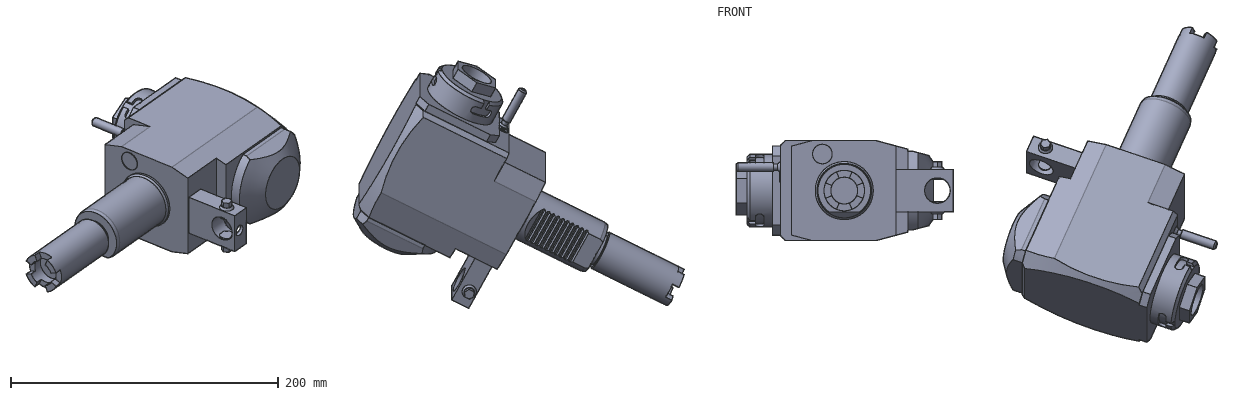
import cadquery as cq
import math


TOTAL_LENGTH = 244.2

BLOCK_HEIGHT = 75.0
HALF_HEIGHT = BLOCK_HEIGHT / 2
BLOCK_BACK_Y = 113.8
STEP_Y = 35.2
HEAD_LEFT_X = -47.6
HEAD_RIGHT_X = 47.6
BASE_LEFT_X = -39.3
BASE_RIGHT_X = 38.5
TAPER_START_X = 23.7
TAPER_ANGLE = 15
EDGE_CHAMFER_X = 3.7
EDGE_CHAMFER_Z = 3.5
BACK_CORNER_CHAMFER = 3.2
CROWN_RADIUS = 185.6
CROWN_X = -10.0
CROWN_Y = 110.2
PLUG_X = -16.4
PLUG_Z = 27.4
PLUG_RADIUS = 7.3
PLUG_RECESS = 0.5

SPINDLE_Y = 79.9
PLATE_LEFT_X = -53.7
PLATE_FRONT_Y = 46.7
PLATE_HALF_HEIGHT = 33.5
PLATE_CHAMFER = 7.5
COLLAR_LEFT_X = -72.8
COLLAR_RADIUS = 27.4
COLLAR_CHAMFER = 2.2
SLOT_COUNT = 3
SLOT_X = -63.3
SLOT_WIDTH = 6.0
SLOT_LENGTH = 19.0
SLOT_DEPTH = 2.2
CHANNEL_WIDTH = 5.1
NUT_LEFT_X = -80.8
NUT_ACROSS_FLATS = 31.8
NUT_BORE_RADIUS = 12.2

PIN_Y = 40.5
PIN_Z = 17.5
PIN_RADIUS = 3.5
PIN_TIP_CHAMFER = 1.2
PIN_SHOULDER_X = -53.0
PIN_NECK_RADIUS = 2.5
PIN_NECK_END_X = -49.8
PIN_FOOT_RADIUS = 4.5
SMALL_PLUG_Z = 10.7
SMALL_PLUG_HEIGHT = 0.7
SMALL_PLUG_HOLE_RADIUS = 1.5

COVER_RADIUS = 37.9
COVER_END_RADIUS = 21.0
COVER_CONE_X = 55.2
COVER_END_X = 67.0
COVER_BACK_Y = 110.2
COVER_FLAT_Z = 29.5
COVER_TAPER_X = 51.0

FLANGE_RADIUS = 21.7
FLANGE_LENGTH = 1.7
SHANK_DIAMETER = 40.8
SHANK_RADIUS = SHANK_DIAMETER / 2
SHANK_START_Y = -3.2
SHANK_END_Y = -63.0
SHANK_CHAMFER_LENGTH = 3.0
SHANK_CHAMFER_DEPTH = 0.7
NECK_RADIUS = 12.2
DRIVE_START_Y = -66.2
DRIVE_RADIUS = 15.1
DRIVE_CHAMFER = 0.7
CLAW_LENGTH = 5.4
SHANK_TIP_Y = BLOCK_BACK_Y - TOTAL_LENGTH
CLAW_COUNT = 4
DRIVE_BORE_RADIUS = 10.0
DRIVE_BORE_DEPTH = 12.2

FLAT_Z = -15.9
FLAT_END_Y = -10.3
GROOVE_COUNT = 10
FIRST_GROOVE_Y = -12.2
LAST_GROOVE_Y = -48.4
GROOVE_PITCH = (FIRST_GROOVE_Y - LAST_GROOVE_Y) / (GROOVE_COUNT - 1)
GROOVE_DEPTH = 1.2
GROOVE_MOUTH = 3.7
GROOVE_FLOOR = 1.0

ARM_END_X = 81.5
ARM_FRONT_Y = 1.5
ARM_BACK_Y = 15.9
ARM_HALF_HEIGHT = 15.9
ARM_HOLE_X = 69.5
ARM_HOLE_RADIUS = 9.5
ARM_END_HOLE_RADIUS = 4.2
SCREW_Y = 7.3
SCREW_COLLAR_RADIUS = 5.4
SCREW_COLLAR_HEIGHT = 1.7
SCREW_ACROSS_FLATS = 6.8
SCREW_TOP_Z = 21.7
SCREW_INNER_Z = 8.3

TAPER_SLOPE = math.tan(math.radians(TAPER_ANGLE))


def box(x0, x1, y0, y1, z0, z1):
    """Box between two opposite corners."""
    return cq.Workplane("XY").box(x1 - x0, y1 - y0, z1 - z0, centered=False).translate((x0, y0, z0))


def cylinder_x(x0, x1, y, z, radius):
    """Cylinder along X."""
    return cq.Workplane("YZ", origin=(x0, y, z)).circle(radius).extrude(x1 - x0)


def turned_x(points, y, z):
    """Solid turned about an X axis through (y, z), from (x, radius) points."""
    outline = [(points[0][0], 0)] + points + [(points[-1][0], 0)]
    return cq.Workplane("XY").polyline(outline).close().revolve(360, (0, 0), (1, 0)).translate((0, y, z))


def mirrored_profile(upper, y0, y1):
    """Prism along Y whose XZ outline is `upper` and its mirror image below Z = 0."""
    lower = [(x, -z) for x, z in reversed(upper)]
    return cq.Workplane("XZ", origin=(0, y1, 0)).polyline(upper + lower).close().extrude(y1 - y0)


def tapered_height(x):
    """Half height of the block beyond the start of the taper."""
    return HALF_HEIGHT - (abs(x) - TAPER_START_X) * TAPER_SLOPE


def crown_cylinder(side):
    """Large cylinder sloped at 45 degrees that rounds the back edge on one Z side."""
    crown_distance = (CROWN_Y + HALF_HEIGHT) / math.sqrt(2)
    axis_offset = (crown_distance - CROWN_RADIUS) / math.sqrt(2)
    plane = cq.Plane((CROWN_X, axis_offset, side * axis_offset), (1, 0, 0), (0, -1, side))
    return cq.Workplane(plane).circle(CROWN_RADIUS).extrude(2 * CROWN_RADIUS, both=True)


def block():
    head = mirrored_profile(
        [
            (HEAD_LEFT_X, HALF_HEIGHT - EDGE_CHAMFER_Z),
            (HEAD_LEFT_X + EDGE_CHAMFER_X, HALF_HEIGHT),
            (TAPER_START_X, HALF_HEIGHT),
            (HEAD_RIGHT_X, tapered_height(HEAD_RIGHT_X)),
        ],
        STEP_Y,
        BLOCK_BACK_Y,
    )
    head = head.edges("|Z and >X and >Y").chamfer(BACK_CORNER_CHAMFER)
    for side in (1, -1):
        head = head.intersect(crown_cylinder(side))
    base = mirrored_profile(
        [
            (BASE_LEFT_X, tapered_height(BASE_LEFT_X)),
            (-TAPER_START_X, HALF_HEIGHT),
            (TAPER_START_X, HALF_HEIGHT),
            (BASE_RIGHT_X, tapered_height(BASE_RIGHT_X)),
        ],
        0,
        STEP_Y,
    )
    plug_recess = (
        cq.Workplane("XZ", origin=(PLUG_X, PLUG_RECESS, PLUG_Z))
        .circle(PLUG_RADIUS)
        .extrude(PLUG_RECESS)
    )
    return head.union(base).cut(plug_recess)


def spindle_plate():
    plate = box(
        PLATE_LEFT_X, HEAD_LEFT_X, PLATE_FRONT_Y, BLOCK_BACK_Y, -PLATE_HALF_HEIGHT, PLATE_HALF_HEIGHT
    )
    return plate.edges("|X").chamfer(PLATE_CHAMFER)


def spanner_slot(angle):
    """Radial T-shaped slot in the collar: an oval pocket joined to the end face by a channel."""
    floor_radius = COLLAR_RADIUS - SLOT_DEPTH
    oval = (
        cq.Workplane("XY", origin=(SLOT_X, 0, 0))
        .slot2D(SLOT_LENGTH, SLOT_WIDTH, 90)
        .extrude(2 * COLLAR_RADIUS)
    )
    half_channel = CHANNEL_WIDTH / 2
    channel = box(COLLAR_LEFT_X, SLOT_X, -half_channel, half_channel, 0, 2 * COLLAR_RADIUS)
    core = cylinder_x(COLLAR_LEFT_X, PLATE_LEFT_X, 0, 0, floor_radius)
    slot = oval.union(channel).cut(core)
    return slot.rotate((0, 0, 0), (1, 0, 0), angle).translate((0, SPINDLE_Y, 0))


def spindle_collar():
    collar = turned_x(
        [
            (COLLAR_LEFT_X, COLLAR_RADIUS - COLLAR_CHAMFER),
            (COLLAR_LEFT_X + COLLAR_CHAMFER, COLLAR_RADIUS),
            (PLATE_LEFT_X, COLLAR_RADIUS),
        ],
        SPINDLE_Y,
        0,
    )
    for index in range(SLOT_COUNT):
        collar = collar.cut(spanner_slot(-90 + index * 360 / SLOT_COUNT))
    return collar


def spindle_nut():
    across_corners = NUT_ACROSS_FLATS / math.cos(math.radians(30))
    nut = (
        cq.Workplane("YZ", origin=(NUT_LEFT_X, SPINDLE_Y, 0))
        .transformed(rotate=(0, 0, 90))
        .polygon(6, across_corners)
        .extrude(COLLAR_LEFT_X - NUT_LEFT_X)
    )
    return nut.cut(cylinder_x(NUT_LEFT_X, COLLAR_LEFT_X, SPINDLE_Y, 0, NUT_BORE_RADIUS))


def coolant_pin():
    return turned_x(
        [
            (NUT_LEFT_X, PIN_RADIUS - PIN_TIP_CHAMFER),
            (NUT_LEFT_X + PIN_TIP_CHAMFER, PIN_RADIUS),
            (PIN_SHOULDER_X, PIN_RADIUS),
            (PIN_SHOULDER_X, PIN_NECK_RADIUS),
            (PIN_NECK_END_X, PIN_NECK_RADIUS),
            (HEAD_LEFT_X, PIN_FOOT_RADIUS),
        ],
        PIN_Y,
        PIN_Z,
    )


def small_plug():
    left_x = HEAD_LEFT_X - SMALL_PLUG_HEIGHT
    disc = cylinder_x(left_x, HEAD_LEFT_X, PIN_Y, SMALL_PLUG_Z, PIN_FOOT_RADIUS)
    return disc.cut(cylinder_x(left_x, HEAD_LEFT_X, PIN_Y, SMALL_PLUG_Z, SMALL_PLUG_HOLE_RADIUS))


def end_cover():
    turned = turned_x(
        [
            (HEAD_RIGHT_X, COVER_RADIUS),
            (COVER_CONE_X, COVER_RADIUS),
            (COVER_END_X, COVER_END_RADIUS),
        ],
        SPINDLE_Y,
        0,
    )
    end_flat_z = COVER_FLAT_Z - (COVER_END_X - COVER_TAPER_X) * TAPER_SLOPE
    trim = mirrored_profile(
        [
            (HEAD_RIGHT_X, COVER_FLAT_Z),
            (COVER_TAPER_X, COVER_FLAT_Z),
            (COVER_END_X, end_flat_z),
        ],
        SPINDLE_Y - COVER_RADIUS,
        COVER_BACK_Y,
    )
    return turned.intersect(trim)


def claw_gap(angle):
    """Wedge with radial sides, as wide as the claws it separates."""
    half_angle = math.radians(180 / (2 * CLAW_COUNT))
    reach = 2 * DRIVE_RADIUS
    half_width = reach * math.tan(half_angle)
    wedge = (
        cq.Workplane("XZ", origin=(0, SHANK_TIP_Y + CLAW_LENGTH, 0))
        .polyline([(0, 0), (-half_width, reach), (half_width, reach)])
        .close()
        .extrude(CLAW_LENGTH)
    )
    return wedge.rotate((0, 0, 0), (0, 1, 0), angle)


def clamping_flat():
    """Cutter for the flat under the shank with its 45 degree run-out and V grooves."""
    depth = FLANGE_RADIUS + FLAT_Z
    half_width = FLANGE_RADIUS
    flat = (
        cq.Workplane("YZ", origin=(-half_width, 0, 0))
        .polyline(
            [
                (SHANK_END_Y, FLAT_Z),
                (FLAT_END_Y, FLAT_Z),
                (FLAT_END_Y + depth, FLAT_Z - depth),
                (SHANK_END_Y, FLAT_Z - depth),
            ]
        )
        .close()
        .extrude(2 * half_width)
    )
    for index in range(GROOVE_COUNT):
        y = FIRST_GROOVE_Y - index * GROOVE_PITCH
        groove = (
            cq.Workplane("YZ", origin=(-half_width, y, FLAT_Z))
            .polyline(
                [
                    (-GROOVE_MOUTH / 2, 0),
                    (-GROOVE_FLOOR / 2, GROOVE_DEPTH),
                    (GROOVE_FLOOR / 2, GROOVE_DEPTH),
                    (GROOVE_MOUTH / 2, 0),
                ]
            )
            .close()
            .extrude(2 * half_width)
        )
        flat = flat.union(groove)
    return flat


def shank():
    outline = [
        (0, 0),
        (FLANGE_RADIUS, 0),
        (FLANGE_RADIUS, -FLANGE_LENGTH),
        (SHANK_RADIUS, SHANK_START_Y),
        (SHANK_RADIUS, SHANK_END_Y + SHANK_CHAMFER_LENGTH),
        (SHANK_RADIUS - SHANK_CHAMFER_DEPTH, SHANK_END_Y),
        (NECK_RADIUS, SHANK_END_Y),
        (NECK_RADIUS, DRIVE_START_Y),
        (DRIVE_RADIUS - DRIVE_CHAMFER, DRIVE_START_Y),
        (DRIVE_RADIUS, DRIVE_START_Y - DRIVE_CHAMFER),
        (DRIVE_RADIUS, SHANK_TIP_Y),
        (0, SHANK_TIP_Y),
    ]
    body = cq.Workplane("XY").polyline(outline).close().revolve(360, (0, 0), (0, 1))
    bore = (
        cq.Workplane("XZ", origin=(0, SHANK_TIP_Y + DRIVE_BORE_DEPTH, 0))
        .circle(DRIVE_BORE_RADIUS)
        .extrude(DRIVE_BORE_DEPTH)
    )
    body = body.cut(bore).cut(clamping_flat())
    for index in range(CLAW_COUNT):
        body = body.cut(claw_gap(index * 360 / CLAW_COUNT))
    return body


def arm_screw():
    """Upper clamping screw: plain shank in the arm, conical collar and hexagonal head outside."""
    across_corners = SCREW_ACROSS_FLATS / math.cos(math.radians(30))
    collar_top_z = ARM_HALF_HEIGHT + SCREW_COLLAR_HEIGHT
    inner = (
        cq.Workplane("XY", origin=(ARM_HOLE_X, SCREW_Y, SCREW_INNER_Z))
        .circle(SCREW_COLLAR_RADIUS)
        .extrude(ARM_HALF_HEIGHT - SCREW_INNER_Z)
    )
    collar = (
        cq.Workplane("XY", origin=(ARM_HOLE_X, SCREW_Y, ARM_HALF_HEIGHT))
        .circle(SCREW_COLLAR_RADIUS)
        .workplane(offset=SCREW_COLLAR_HEIGHT)
        .circle(across_corners / 2)
        .loft()
    )
    head = (
        cq.Workplane("XY", origin=(ARM_HOLE_X, SCREW_Y, collar_top_z))
        .transformed(rotate=(0, 0, 90))
        .polygon(6, across_corners)
        .extrude(SCREW_TOP_Z - collar_top_z)
    )
    return inner.union(collar).union(head)


def side_arm():
    arm = box(BASE_RIGHT_X, ARM_END_X, ARM_FRONT_Y, ARM_BACK_Y, -ARM_HALF_HEIGHT, ARM_HALF_HEIGHT)
    cross_hole = (
        cq.Workplane("XZ", origin=(ARM_HOLE_X, ARM_BACK_Y, 0))
        .circle(ARM_HOLE_RADIUS)
        .extrude(ARM_BACK_Y - ARM_FRONT_Y)
    )
    end_hole = cylinder_x(ARM_HOLE_X, ARM_END_X, SCREW_Y, 0, ARM_END_HOLE_RADIUS)
    screw = arm_screw()
    return arm.cut(cross_hole).cut(end_hole).union(screw).union(screw.mirror("XY"))


result = block()
for feature in (
    spindle_plate(),
    spindle_collar(),
    spindle_nut(),
    coolant_pin(),
    small_plug(),
    end_cover(),
    shank(),
    side_arm(),
):
    result = result.union(feature)